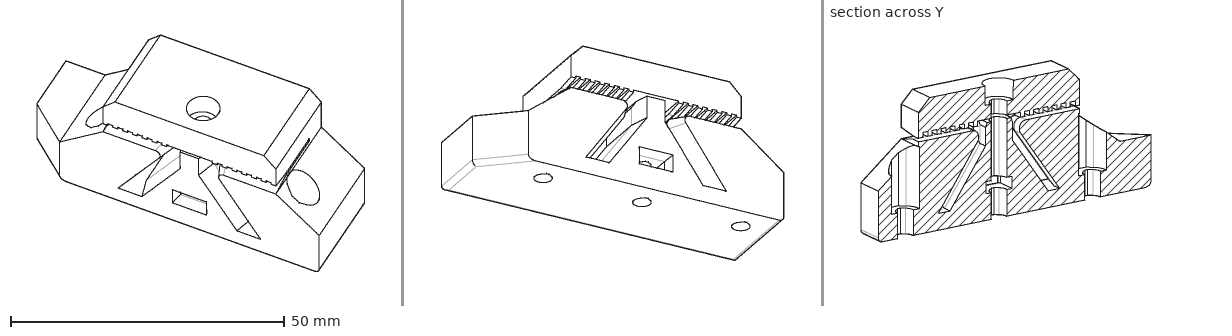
import cadquery as cq
import math

OVER = 5.0

depth = 18.8
height = 26.0
base_half = 26.5
base_height = 10.0
shoulder_z = 16.9
block_half = 17.65
block_chamfer = 2.45
nose_length = 8.0
nose_setback = 6.75
bottom_fillet = 1.0

slot_depth = 13.8
mouth_depth = 4.0
slot_floor = 17.9
slot_ceiling = 18.52
mouth_ceiling = 19.06
tooth_root_z = 19.47
tooth_pitch = 2.0
tooth_gap = 1.0
gap_count = 6
arch_half = 4.65
cavity_bottom = 3.33
cavity_half = 13.2
cavity_mouth_half = 14.55
nose_radius = 1.5
nose_mouth_radius = 1.0
lean = math.radians(35)

wedge_top = 18.9
wedge_half = 3.0
wedge_front_half = 1.88
wedge_foot_half = 10.78
wedge_front_foot_half = 9.7
corner_width = 0.35
corner_height = 0.87
slit_depth = 0.3

pocket_z = 6.35
pocket_size = (5.6, 2.25)
pocket_mouth_size = (7.0, 3.5)
pocket_taper_depth = 2.0
pocket_depth = 8.7

screw_y = 5.55
side_screw_x = 20.5
screw_radius = 1.7
head_radius = 3.0
peak_slope = math.radians(38)
peak_height = 0.22
side_head_floor = 5.0
middle_head_depth = 3.7
middle_head_floor = height - middle_head_depth
middle_head_radius = 3.07
middle_head_rise = 0.15
middle_head_drop = 0.3


def front_plane(y):
    """XZ plane at the given Y, extruding toward +Y for negative distances."""
    return cq.Workplane("XZ", origin=(0, y, 0))


def box(x0, x1, y0, y1, z0, z1):
    return cq.Workplane("XY").box(x1 - x0, y1 - y0, z1 - z0, centered=False).translate((x0, y0, z0))


def ruled(front_wire, back_wire):
    return cq.Workplane(cq.Solid.makeLoft([front_wire, back_wire], True))


def make_body():
    body = (
        front_plane(0)
        .moveTo(-base_half, 0)
        .lineTo(base_half, 0)
        .lineTo(base_half, base_height)
        .lineTo(block_half, shoulder_z)
        .lineTo(block_half, height - block_chamfer)
        .lineTo(block_half - block_chamfer, height)
        .lineTo(block_chamfer - block_half, height)
        .lineTo(-block_half, height - block_chamfer)
        .lineTo(-block_half, shoulder_z)
        .lineTo(-base_half, base_height)
        .close()
        .extrude(-depth)
    )
    nose = (
        cq.Workplane("XY")
        .moveTo(-base_half, 0)
        .lineTo(-base_half, depth)
        .lineTo(-base_half - nose_length, depth)
        .lineTo(-base_half - nose_length, nose_setback)
        .close()
        .extrude(base_height)
    )
    return body.union(nose).clean().faces("<Z").edges("not <Y").fillet(bottom_fillet)


def cavity_outline(y, floor_z, ceiling_z, foot_half, radius):
    """Slot across the block, rounded into two legs that lean outward down to the cavity bottom."""
    end = block_half + OVER
    corner_x = foot_half - (floor_z - cavity_bottom) * math.tan(lean)
    tangent_x = corner_x + radius / math.tan((math.pi / 2 - lean) / 2)
    centre_z = floor_z - radius
    middle_angle = math.pi / 4 + lean / 2
    middle_x = tangent_x - radius * math.sin(middle_angle)
    middle_z = centre_z + radius * math.cos(middle_angle)
    leg_x = tangent_x - radius * math.cos(lean)
    leg_z = centre_z - radius * math.sin(lean)
    return (
        front_plane(y)
        .moveTo(end, ceiling_z)
        .lineTo(end, floor_z)
        .lineTo(tangent_x, floor_z)
        .threePointArc((middle_x, middle_z), (leg_x, leg_z))
        .lineTo(foot_half, cavity_bottom)
        .lineTo(-foot_half, cavity_bottom)
        .lineTo(-leg_x, leg_z)
        .threePointArc((-middle_x, middle_z), (-tangent_x, floor_z))
        .lineTo(-end, floor_z)
        .lineTo(-end, ceiling_z)
        .close()
    )


def make_cavity():
    mouth = cavity_outline(0, shoulder_z, mouth_ceiling, cavity_mouth_half, nose_mouth_radius)
    inner = (mouth_depth, slot_floor, slot_ceiling, cavity_half, nose_radius)
    cavity = ruled(mouth.val(), cavity_outline(*inner).val())
    cavity = cavity.union(cavity_outline(*inner).extrude(mouth_depth - slot_depth))
    cavity = cavity.union(box(-arch_half, arch_half, 0, slot_depth, slot_floor, tooth_root_z))
    for i in range(gap_count):
        gap_start = arch_half + tooth_gap + i * tooth_pitch
        gap = box(gap_start, gap_start + tooth_gap, 0, slot_depth, slot_floor, tooth_root_z)
        cavity = cavity.union(gap).union(gap.mirror("YZ"))
    return cavity


def wedge_outline(y, top_half, foot_half):
    kink_z = cavity_bottom + (foot_half - top_half) / math.tan(lean)
    return (
        front_plane(y)
        .moveTo(-foot_half, cavity_bottom)
        .lineTo(foot_half, cavity_bottom)
        .lineTo(top_half, kink_z)
        .lineTo(top_half, wedge_top)
        .lineTo(-top_half, wedge_top)
        .lineTo(-top_half, kink_z)
        .close()
    )


def make_wedge():
    front = wedge_outline(0, wedge_front_half, wedge_front_foot_half)
    inner = (mouth_depth, wedge_half, wedge_foot_half)
    wedge = ruled(front.val(), wedge_outline(*inner).val())
    wedge = wedge.union(wedge_outline(*inner).extrude(mouth_depth - slot_depth))
    corner = (
        front_plane(0)
        .moveTo(wedge_half, wedge_top)
        .lineTo(wedge_half - corner_width, wedge_top)
        .lineTo(wedge_half, wedge_top - corner_height)
        .close()
        .extrude(-slot_depth)
    )
    slit = box(-wedge_half, wedge_half, slot_depth - slit_depth, slot_depth, slot_floor, slot_ceiling)
    return wedge.cut(corner).cut(corner.mirror("YZ")).cut(slit)


def make_pocket():
    mouth = front_plane(0).center(0, pocket_z).rect(*pocket_mouth_size).wires().val()
    inner = front_plane(pocket_taper_depth).center(0, pocket_z).rect(*pocket_size)
    straight = inner.extrude(pocket_taper_depth - pocket_depth)
    return ruled(mouth, inner.wires().val()).union(straight)


def teardrop(x, radius, z0, z1):
    """Vertical hole whose front side runs to a blunt peak."""
    tangent_x = radius * math.sin(peak_slope)
    tangent_y = radius * math.cos(peak_slope)
    peak_y = radius + peak_height
    peak_half = tangent_x - (peak_y - tangent_y) / math.tan(peak_slope)
    return (
        cq.Workplane("XY", origin=(x, screw_y, z0))
        .moveTo(-tangent_x, -tangent_y)
        .threePointArc((0, radius), (tangent_x, -tangent_y))
        .lineTo(peak_half, -peak_y)
        .lineTo(-peak_half, -peak_y)
        .close()
        .extrude(z1 - z0)
    )


def make_screw_holes():
    holes = teardrop(0, screw_radius, -OVER, height)
    for x in (-side_screw_x, side_screw_x):
        holes = holes.union(teardrop(x, screw_radius, -OVER, shoulder_z))
        holes = holes.union(teardrop(x, head_radius, side_head_floor, shoulder_z))
    floor_centre = cq.Vector(0, screw_y - middle_head_drop, middle_head_floor)
    opening_centre = cq.Vector(0, screw_y + middle_head_rise, height)
    up = cq.Vector(0, 0, 1)
    floor_circle = cq.Wire.makeCircle(middle_head_radius, floor_centre, up)
    opening_circle = cq.Wire.makeCircle(middle_head_radius, opening_centre, up)
    return holes.union(ruled(floor_circle, opening_circle))


result = (
    make_body()
    .cut(make_cavity().cut(make_wedge()))
    .cut(make_pocket())
    .cut(make_screw_holes())
)